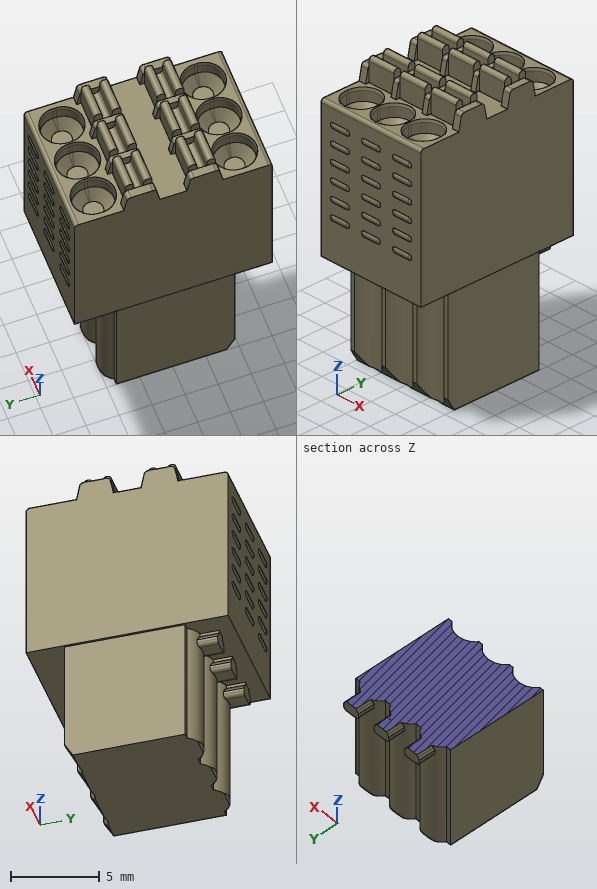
import cadquery as cq

TOTAL_HEIGHT = 19.71
HOUSING_WIDTH = 8.18
HOUSING_DEPTH = 11.98
HOUSING_BOTTOM = 7.8
HOUSING_TOP = 18.05
HOUSING_EDGE_RADIUS = 0.24

POLE_PITCH = 2.55
POLE_X = [-POLE_PITCH, 0, POLE_PITCH]
SIDES = [-1, 1]

ENTRY_Y = 4.28
ENTRY_FLAT = 0.2
ENTRY_MOUTH_RADIUS = 1.22
ENTRY_THROAT_RADIUS = 1.16
ENTRY_FLOOR_RADIUS = 0.57
ENTRY_FLOOR_FLAT = 0.05
ENTRY_CHAMFER_DEPTH = 0.2
ENTRY_THROAT_DEPTH = 0.9
ENTRY_DEPTH = 1.5

LATCH_Y = 1.91
LATCH_WIDTH = 2.05
LATCH_DEPTH = 1.64
LATCH_LIP = 0.51
LATCH_GROOVE_RADIUS = 0.28
LATCH_GROOVE_BOTTOM = 18.63
PLATE_TOP = 19.18
PLATE_BASE_DEPTH = 2.19
PLATE_TOP_DEPTH = 1.73
PLATE_CORNER_RADIUS = 0.25
END_PLATE_WIDTH = 0.53
MIDDLE_PLATE_WIDTH = 0.4

RIB_LENGTH = 1.55
RIB_HEIGHT = 0.4
RIB_PROTRUSION = 0.08
RIB_COUNT = 6
RIB_PITCH = 1.2
RIB_TOP_Z = 16.7

PLUG_WIDTH = 7.95
PLUG_FRONT = -3.76
PLUG_BACK = 3.4
PLUG_CHAMFER_DEPTH = 0.51
PLUG_CHAMFER_HEIGHT = 0.87
SCALLOP_WIDTH = 2.23
SCALLOP_DEPTH = 0.57
BULGE_WIDTH = 2.13
BULGE_DEPTH = 0.61
BULGE_CHAMFER = 0.14

TAB_END_Y = 5.09
TAB_NECK_WIDTH = 0.7
TAB_SHOULDER_WIDTH = 1.02
TAB_WIDTH = 1.22
TAB_STEP = 0.2
TAB_BOTTOM_RADIUS = 0.22


def centred_box(width, depth, bottom, top, y=0):
    """Box centred on (0, y) that spans bottom to top in Z."""
    box = cq.Workplane("XY").box(width, depth, top - bottom, centered=(True, True, False))
    return box.translate((0, y, bottom))


def make_housing():
    housing = centred_box(HOUSING_WIDTH, HOUSING_DEPTH, HOUSING_BOTTOM, HOUSING_TOP)
    return housing.edges("|X and >Z").fillet(HOUSING_EDGE_RADIUS)


def entry_section(radius, flat, depth):
    """Obround, long in Y, at the given depth below the housing top."""
    section = cq.Workplane("XY").workplane(offset=HOUSING_TOP - depth)
    return section.slot2D(2 * radius + flat, 2 * radius, 90).wires().val()


def make_entry():
    """Wire entry: chamfered mouth, straight throat and tapered floor."""
    mouth = entry_section(ENTRY_MOUTH_RADIUS, ENTRY_FLAT, 0)
    throat_top = entry_section(ENTRY_THROAT_RADIUS, ENTRY_FLAT, ENTRY_CHAMFER_DEPTH)
    throat_bottom = entry_section(ENTRY_THROAT_RADIUS, ENTRY_FLAT, ENTRY_THROAT_DEPTH)
    floor = entry_section(ENTRY_FLOOR_RADIUS, ENTRY_FLOOR_FLAT, ENTRY_DEPTH)
    entry = cq.Workplane(obj=cq.Solid.makeLoft([mouth, throat_top], True))
    entry = entry.union(cq.Workplane(obj=cq.Solid.makeLoft([throat_top, throat_bottom], True)))
    return entry.union(cq.Workplane(obj=cq.Solid.makeLoft([throat_bottom, floor], True)))


def make_latch():
    """Block with two round-topped lips and a tapered, round-bottomed groove between them."""
    half_depth = LATCH_DEPTH / 2
    half_groove = half_depth - LATCH_LIP
    lip_radius = LATCH_LIP / 2
    lip_middle = half_depth - lip_radius
    lip_spring = TOTAL_HEIGHT - lip_radius
    groove_spring = LATCH_GROOVE_BOTTOM + LATCH_GROOVE_RADIUS
    return (
        cq.Workplane("YZ")
        .moveTo(-half_depth, HOUSING_TOP)
        .lineTo(-half_depth, lip_spring)
        .threePointArc((-lip_middle, TOTAL_HEIGHT), (-half_groove, lip_spring))
        .lineTo(-LATCH_GROOVE_RADIUS, groove_spring)
        .threePointArc((0, LATCH_GROOVE_BOTTOM), (LATCH_GROOVE_RADIUS, groove_spring))
        .lineTo(half_groove, lip_spring)
        .threePointArc((lip_middle, TOTAL_HEIGHT), (half_depth, lip_spring))
        .lineTo(half_depth, HOUSING_TOP)
        .close()
        .extrude(LATCH_WIDTH / 2, both=True)
    )


def make_plate(width):
    """Tapered separator plate with rounded upper corners."""
    plate = (
        cq.Workplane("YZ")
        .moveTo(-PLATE_BASE_DEPTH / 2, HOUSING_TOP)
        .lineTo(-PLATE_TOP_DEPTH / 2, PLATE_TOP)
        .lineTo(PLATE_TOP_DEPTH / 2, PLATE_TOP)
        .lineTo(PLATE_BASE_DEPTH / 2, HOUSING_TOP)
        .close()
        .extrude(width / 2, both=True)
    )
    return plate.edges("|X and >Z").fillet(PLATE_CORNER_RADIUS)


def make_latch_row():
    """Three latches with a plate at each end and one in each gap."""
    end_plate_x = (HOUSING_WIDTH - END_PLATE_WIDTH) / 2
    middle_plate_x = POLE_PITCH / 2
    latch = make_latch()
    end_plate = make_plate(END_PLATE_WIDTH)
    middle_plate = make_plate(MIDDLE_PLATE_WIDTH)
    pieces = [latch.translate((x, 0, 0)) for x in POLE_X]
    for side in SIDES:
        pieces.append(end_plate.translate((side * end_plate_x, 0, 0)))
        pieces.append(middle_plate.translate((side * middle_plate_x, 0, 0)))
    return pieces


def make_rib():
    """Capsule along X whose crest stands RIB_PROTRUSION clear of Y = 0 on the +Y side."""
    radius = (RIB_HEIGHT**2 / 4 + RIB_PROTRUSION**2) / (2 * RIB_PROTRUSION)
    straight = RIB_LENGTH - RIB_HEIGHT
    rib = cq.Workplane("YZ").circle(radius).extrude(straight / 2, both=True)
    for side in SIDES:
        rib = rib.union(cq.Workplane("XY").sphere(radius).translate((side * straight / 2, 0, 0)))
    return rib.translate((0, RIB_PROTRUSION - radius, 0))


def arc_column(x, base_y, width, depth):
    """Column of the plug's height: a circle segment standing depth clear of base_y toward +Y."""
    return (
        cq.Workplane("XY")
        .moveTo(x - width / 2, base_y)
        .threePointArc((x, base_y + depth), (x + width / 2, base_y))
        .close()
        .extrude(HOUSING_BOTTOM)
    )


def make_plug():
    """Plug with scalloped front, bulged back and bevelled lower edges."""
    plug_back_limit = PLUG_BACK + BULGE_DEPTH
    plug = centred_box(
        PLUG_WIDTH, PLUG_BACK - PLUG_FRONT, 0, HOUSING_BOTTOM, y=(PLUG_BACK + PLUG_FRONT) / 2
    )
    for x in POLE_X:
        plug = plug.union(arc_column(x, PLUG_BACK, BULGE_WIDTH, BULGE_DEPTH))
        plug = plug.cut(arc_column(x, PLUG_FRONT, SCALLOP_WIDTH, SCALLOP_DEPTH))
    envelope = (
        cq.Workplane("YZ")
        .moveTo(PLUG_FRONT, HOUSING_BOTTOM)
        .lineTo(PLUG_FRONT, PLUG_CHAMFER_HEIGHT)
        .lineTo(PLUG_FRONT + PLUG_CHAMFER_DEPTH, 0)
        .lineTo(plug_back_limit - BULGE_CHAMFER, 0)
        .lineTo(plug_back_limit, BULGE_CHAMFER)
        .lineTo(plug_back_limit, HOUSING_BOTTOM)
        .close()
        .extrude(PLUG_WIDTH / 2, both=True)
    )
    return plug.intersect(envelope)


def make_tab():
    """Coding tab: a neck that widens downward to a head with rounded lower corners."""
    neck = TAB_NECK_WIDTH / 2
    shoulder = TAB_SHOULDER_WIDTH / 2
    head = TAB_WIDTH / 2
    neck_bottom = HOUSING_BOTTOM - TAB_STEP
    shoulder_bottom = neck_bottom - TAB_STEP
    head_top = shoulder_bottom - TAB_STEP
    bottom = head_top - TAB_STEP - TAB_BOTTOM_RADIUS
    tab = (
        cq.Workplane("XZ", origin=(0, TAB_END_Y, 0))
        .moveTo(-neck, HOUSING_BOTTOM)
        .lineTo(-neck, neck_bottom)
        .lineTo(-shoulder, shoulder_bottom)
        .lineTo(-head, head_top)
        .lineTo(-head, bottom)
        .lineTo(head, bottom)
        .lineTo(head, head_top)
        .lineTo(shoulder, shoulder_bottom)
        .lineTo(neck, neck_bottom)
        .lineTo(neck, HOUSING_BOTTOM)
        .close()
        .extrude(TAB_END_Y - PLUG_BACK)
    )
    return tab.edges("|Y and <Z").fillet(TAB_BOTTOM_RADIUS)


result = make_housing()
entry = make_entry()
for side in SIDES:
    for x in POLE_X:
        result = result.cut(entry.translate((x, side * ENTRY_Y, 0)))

result = result.union(make_plug())
tab = make_tab()
for x in POLE_X:
    result = result.union(tab.translate((x, 0, 0)))

latch_row = make_latch_row()
for side in SIDES:
    for piece in latch_row:
        result = result.union(piece.translate((0, side * LATCH_Y, 0)))

back_rib = make_rib()
front_rib = back_rib.mirror("XZ")
for side, rib in ((-1, front_rib), (1, back_rib)):
    for x in POLE_X:
        for level in range(RIB_COUNT):
            rib_z = RIB_TOP_Z - level * RIB_PITCH
            result = result.union(rib.translate((x, side * HOUSING_DEPTH / 2, rib_z)))